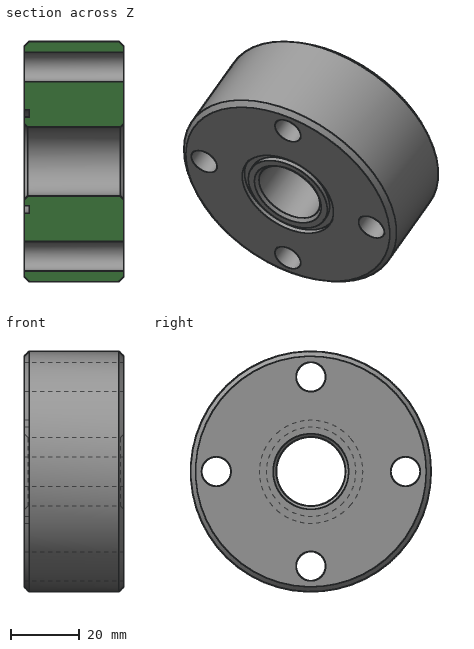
import cadquery as cq

outer_diameter = 70.0
width = 29.0
rim_chamfer = 1.5

bore_diameter = 20.0
bore_chamfer = 1.0

groove_outer_diameter = 30.0
groove_inner_diameter = 26.0
groove_depth = 1.5

hole_count = 4
hole_diameter = 8.5
bolt_circle_diameter = 55.0


def face_plane(x):
    """Plane across the axis at x, with its normal along +X."""
    return cq.Workplane("YZ", origin=(x, 0, 0))


def make_disc():
    disc = face_plane(-width / 2).circle(outer_diameter / 2).extrude(width)
    return disc.edges("%CIRCLE").chamfer(rim_chamfer)


def make_bore():
    """Through bore flaring to a chamfer at each end face."""
    radius = bore_diameter / 2
    mouth_radius = radius + bore_chamfer
    half_width = width / 2
    profile = [
        (-half_width, 0),
        (-half_width, mouth_radius),
        (-half_width + bore_chamfer, radius),
        (half_width - bore_chamfer, radius),
        (half_width, mouth_radius),
        (half_width, 0),
    ]
    return cq.Workplane("XY").polyline(profile).close().revolve(360, (0, 0, 0), (1, 0, 0))


def make_groove():
    return (
        face_plane(-width / 2)
        .circle(groove_outer_diameter / 2)
        .circle(groove_inner_diameter / 2)
        .extrude(groove_depth)
    )


def make_bolt_holes():
    return (
        face_plane(-width / 2)
        .polarArray(bolt_circle_diameter / 2, 0, 360, hole_count)
        .circle(hole_diameter / 2)
        .extrude(width)
    )


result = make_disc().cut(make_bore()).cut(make_groove()).cut(make_bolt_holes())